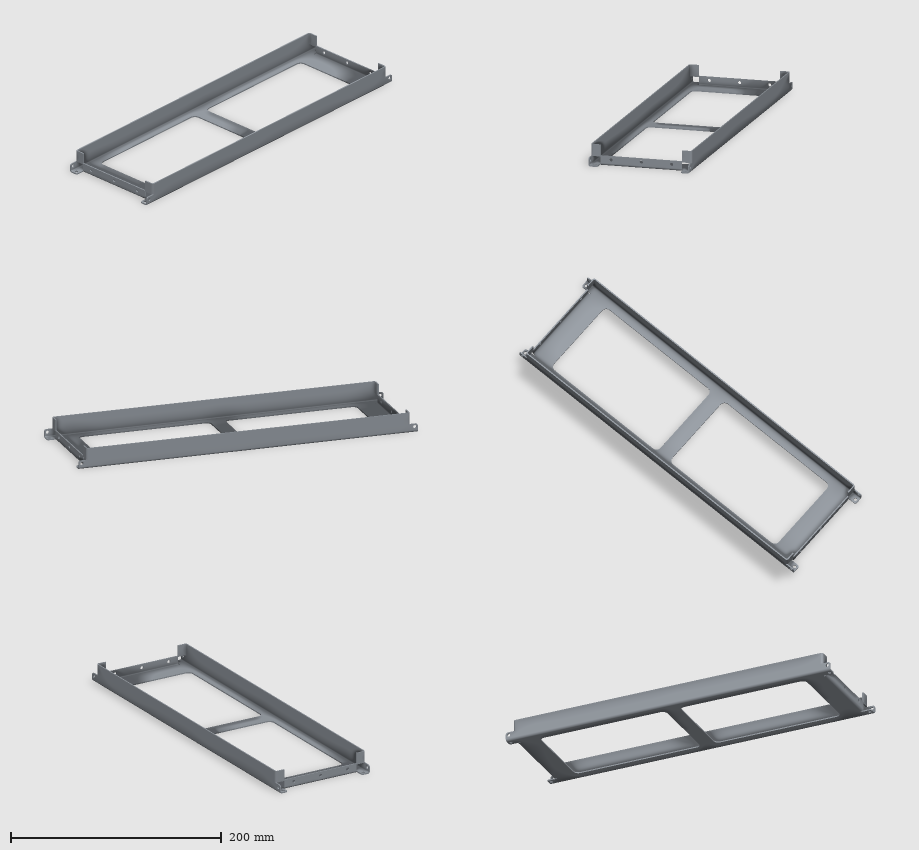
import cadquery as cq

LENGTH = 340.5
WIDTH = 100.0
HEIGHT = 20.0

SHEET = 1.2
BEND_INNER = 1.0
BEND_OUTER = BEND_INNER + SHEET

EAR_LENGTH = 8.0
EAR_HEIGHT = 8.5
EAR_HOLE_END_OFFSET = 3.0
EAR_HOLE_SIDE_OFFSET = 5.5
EAR_RADIUS = 2.0

HOLE_DIAMETER = 3.2

FLANGE_WIDTH = 80.5
FLANGE_HEIGHT = 9.5
FLANGE_HOLE_COUNT = 3
FLANGE_HOLE_PITCH = 30.0
FLANGE_HOLE_HEIGHT = 5.8

RELIEF_WIDTH = 1.0
RELIEF_DEPTH = 3.0

RETURN_WIDTH = 10.0

WINDOW_WIDTH = 80.5
WINDOW_LENGTH = 132.0
BRIDGE_LENGTH = 15.0
WINDOW_RADIUS = 5.0

BODY_LENGTH = LENGTH - 2 * EAR_LENGTH
BODY_END = BODY_LENGTH / 2
SIDES = (-1, 1)


def channel():
    """Floor with both side walls, bent with constant sheet thickness."""
    inner_width = WIDTH - 2 * SHEET
    outer = (
        cq.Workplane("XY")
        .box(WIDTH, LENGTH, HEIGHT, centered=(True, True, False))
        .edges("|Y and <Z")
        .fillet(BEND_OUTER)
    )
    inner = (
        cq.Workplane("XY", origin=(0, 0, SHEET))
        .box(inner_width, LENGTH, HEIGHT, centered=(True, True, False))
        .edges("|Y and <Z")
        .fillet(BEND_INNER)
    )
    return outer.cut(inner)


def floor_end_cut(side):
    """Floor opening between the ears, with a relief slot at each end of the flange."""
    opening_width = FLANGE_WIDTH + 2 * RELIEF_WIDTH
    opening_length = EAR_LENGTH + BEND_OUTER
    opening = cq.Workplane("XY", origin=(0, side * (LENGTH - opening_length) / 2, 0)).box(
        opening_width, opening_length, BEND_OUTER, centered=(True, True, False)
    )
    relief_length = EAR_LENGTH + RELIEF_DEPTH
    relief_y = side * (LENGTH - relief_length) / 2
    relief_x = (FLANGE_WIDTH + RELIEF_WIDTH) / 2
    reliefs = (
        cq.Workplane("XY")
        .pushPoints([(x_side * relief_x, relief_y) for x_side in SIDES])
        .rect(RELIEF_WIDTH, relief_length)
        .extrude(SHEET)
    )
    return opening.union(reliefs)


def round_ears(body):
    """Round the free corners of the floor and wall ears."""
    half_length = LENGTH / 2
    tolerance = SHEET / 2
    half_opening = FLANGE_WIDTH / 2 + RELIEF_WIDTH
    for y_side in SIDES:
        for x_side in SIDES:
            floor_corner = cq.selectors.BoxSelector(
                (x_side * half_opening - tolerance, y_side * half_length - tolerance, 0),
                (x_side * half_opening + tolerance, y_side * half_length + tolerance, SHEET),
            )
            wall_x = x_side * (WIDTH - SHEET) / 2
            wall_corner = cq.selectors.BoxSelector(
                (wall_x - tolerance, y_side * half_length - tolerance, EAR_HEIGHT - tolerance),
                (wall_x + tolerance, y_side * half_length + tolerance, EAR_HEIGHT + tolerance),
            )
            body = body.edges("|Z").edges(floor_corner).fillet(EAR_RADIUS)
            body = body.edges("|X").edges(wall_corner).fillet(EAR_RADIUS)
    return body


def end_flange(side):
    """Drilled flange bent up from the floor at one end."""
    bend_start = BODY_END - BEND_OUTER
    profile = (
        cq.Workplane("YZ", origin=(-FLANGE_WIDTH / 2, 0, 0))
        .moveTo(side * bend_start, 0)
        .radiusArc((side * BODY_END, BEND_OUTER), -side * BEND_OUTER)
        .lineTo(side * BODY_END, FLANGE_HEIGHT)
        .lineTo(side * (BODY_END - SHEET), FLANGE_HEIGHT)
        .lineTo(side * (BODY_END - SHEET), BEND_OUTER)
        .radiusArc((side * bend_start, SHEET), side * BEND_INNER)
        .close()
    )
    holes = (
        cq.Workplane("XZ", origin=(0, side * BODY_END, FLANGE_HOLE_HEIGHT))
        .rarray(FLANGE_HOLE_PITCH, 3.5, FLANGE_HOLE_COUNT, 1)
        .circle(HOLE_DIAMETER / 2)
        .extrude(SHEET, both=True)
    )
    return profile.extrude(FLANGE_WIDTH).cut(holes)


def upper_walls():
    """Upper side walls with a tab bent inward at each end, above the ears."""
    tab_height = HEIGHT - EAR_HEIGHT
    outer = (
        cq.Workplane("XY", origin=(0, 0, EAR_HEIGHT))
        .box(WIDTH, BODY_LENGTH, tab_height, centered=(True, True, False))
        .edges("|Z")
        .fillet(BEND_OUTER)
    )
    inner = (
        cq.Workplane("XY", origin=(0, 0, EAR_HEIGHT))
        .box(WIDTH - 2 * SHEET, BODY_LENGTH - 2 * SHEET, tab_height, centered=(True, True, False))
        .edges("|Z")
        .fillet(BEND_INNER)
    )
    gap = cq.Workplane("XY", origin=(0, 0, EAR_HEIGHT)).box(
        WIDTH - 2 * RETURN_WIDTH, BODY_LENGTH, tab_height, centered=(True, True, False)
    )
    return outer.cut(inner).cut(gap)


def above_ears_cut():
    """Everything above the ears, where the walls are rebuilt with their return tabs."""
    return cq.Workplane("XY", origin=(0, 0, EAR_HEIGHT)).box(
        WIDTH, LENGTH, HEIGHT - EAR_HEIGHT, centered=(True, True, False)
    )


def ear_holes():
    """Holes through the floor and through the side walls of all four ears."""
    hole_spacing_y = LENGTH - 2 * EAR_HOLE_END_OFFSET
    floor_holes = (
        cq.Workplane("XY")
        .rarray(WIDTH - 2 * EAR_HOLE_SIDE_OFFSET, hole_spacing_y, 2, 2)
        .circle(HOLE_DIAMETER / 2)
        .extrude(SHEET)
    )
    wall_holes = (
        cq.Workplane("YZ", origin=(0, 0, EAR_HOLE_SIDE_OFFSET))
        .rarray(hole_spacing_y, 3.5, 2, 1)
        .circle(HOLE_DIAMETER / 2)
        .extrude(WIDTH / 2, both=True)
    )
    return floor_holes.union(wall_holes)


def windows():
    """Two rounded openings in the floor, separated by the bridge."""
    return (
        cq.Workplane("XY")
        .rarray(3.5, WINDOW_LENGTH + BRIDGE_LENGTH, 1, 2)
        .rect(WINDOW_WIDTH, WINDOW_LENGTH)
        .extrude(SHEET)
        .edges("|Z")
        .fillet(WINDOW_RADIUS)
    )


result = channel().cut(above_ears_cut()).union(upper_walls())
for end in SIDES:
    result = result.cut(floor_end_cut(end)).union(end_flange(end))
result = round_ears(result).cut(ear_holes()).cut(windows())